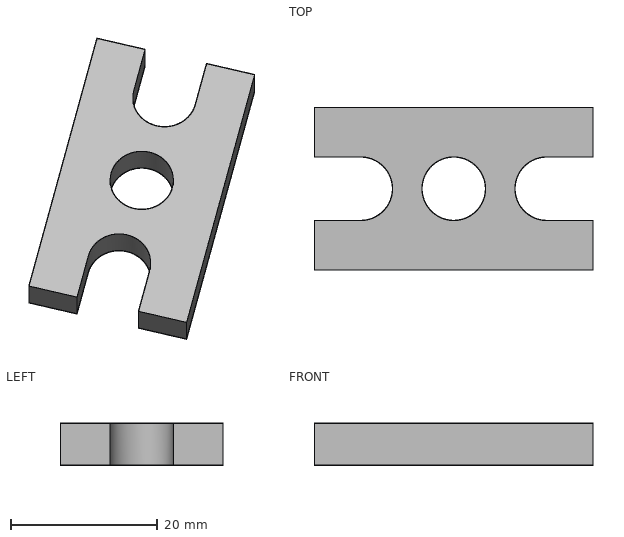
import cadquery as cq

LENGTH = 38.1
WIDTH = 22.23
THICKNESS = 5.75

HOLE_DIAMETER = 8.64
SLOT_CENTRE_OFFSET = 12.7


def plate():
    """Rectangular plate centred in X and Y, resting on Z = 0."""
    return cq.Workplane("XY").box(LENGTH, WIDTH, THICKNESS, centered=(True, True, False))


def centre_hole():
    """Cutter for the round hole through the middle of the plate."""
    return cq.Workplane("XY").circle(HOLE_DIAMETER / 2).extrude(THICKNESS)


def end_slot(side):
    """Cutter for the round-ended slot open to the +X (side = 1) or -X (side = -1) end."""
    radius = HOLE_DIAMETER / 2
    round_centre = side * SLOT_CENTRE_OFFSET
    open_end = side * LENGTH / 2
    return (
        cq.Workplane("XY")
        .moveTo(open_end, radius)
        .lineTo(round_centre, radius)
        .threePointArc((round_centre - side * radius, 0), (round_centre, -radius))
        .lineTo(open_end, -radius)
        .close()
        .extrude(THICKNESS)
    )


result = plate().cut(centre_hole())
for side in (-1, 1):
    result = result.cut(end_slot(side))